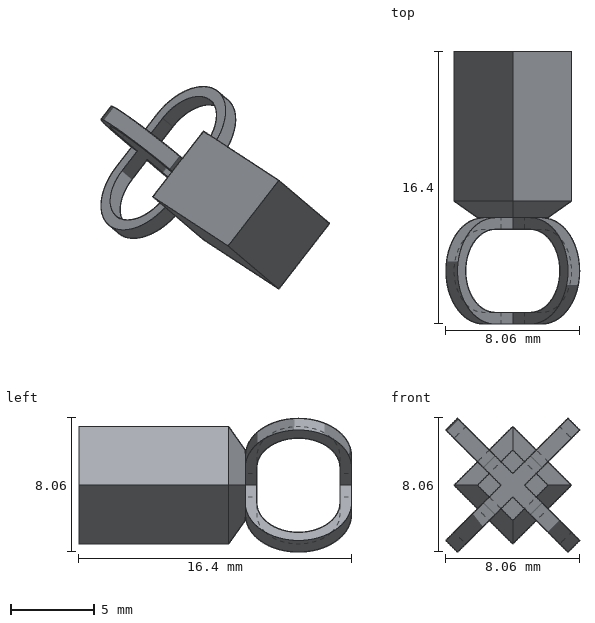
import cadquery as cq

overall_length = 16.4
bar_side = 5.0
tip_chamfer = 1.0
loop_depth = 6.4
loop_straight = 4.0
loop_wall = 0.7
loop_width = 1.0
loop_angles = (45, -45)

bar_length = overall_length - loop_depth
loop_length = loop_straight + loop_depth


def make_bar():
    """Square bar standing on its edge, with the four edges of its tip chamfered."""
    bar = cq.Workplane("XY").box(bar_side, bar_length, bar_side, centered=(True, False, True))
    bar = bar.faces("<Y").chamfer(tip_chamfer)
    return bar.rotate((0, 0, 0), (0, 1, 0), 45)


def make_loop(angle):
    """Flat oblong loop that touches the tip of the bar, turned about the Y axis."""
    inner_length = loop_length - 2 * loop_wall
    inner_depth = loop_depth - 2 * loop_wall
    plane = cq.Workplane("XY", origin=(0, -loop_depth / 2, 0))
    outer = plane.slot2D(loop_length, loop_depth).extrude(loop_width / 2, both=True)
    opening = plane.slot2D(inner_length, inner_depth).extrude(loop_width / 2, both=True)
    return outer.cut(opening).rotate((0, 0, 0), (0, 1, 0), angle)


def make_crossed_loops():
    """Two loops at right angles, joined where they cross on the Y axis."""
    first_angle, second_angle = loop_angles
    return make_loop(first_angle).union(make_loop(second_angle))


bar = make_bar()
crossed_loops = make_crossed_loops()

result = cq.Compound.makeCompound([bar.val(), crossed_loops.solids().val()])